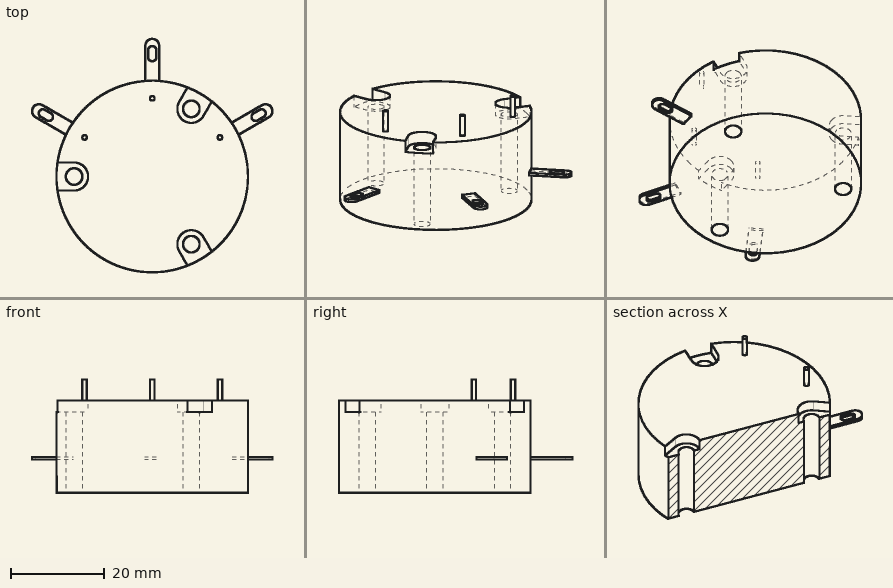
import cadquery as cq

body_diameter = 41.0
overall_height = 24.25
pin_height = 4.5
body_height = overall_height - pin_height

mount_angles = (60, 180, 300)
mount_radius = 16.7
mount_hole_diameter = 3.5
notch_width = 6.0
notch_depth = 2.5

contact_angles = (30, 90, 150)
pin_radius = 16.7
pin_diameter = 1.0

tab_width = 3.0
tab_tip_radius = 29.45
tab_thickness = 0.6
tab_bottom = 7.1
tab_embed_depth = 2.0
tab_root_radius = body_diameter / 2 - tab_embed_depth
tab_end_center = tab_tip_radius - tab_width / 2
eye_width = 1.7
eye_length = 3.2
eye_center = 26.25


def rotated(shape, angle):
    """Turn a shape built along +X to the given angle about the Z axis."""
    return shape.rotate((0, 0, 0), (0, 0, 1), angle)


def make_body():
    return cq.Workplane("XY").circle(body_diameter / 2).extrude(body_height)


def make_mount_cutter():
    """Through hole plus notch, built along +X."""
    hole = (
        cq.Workplane("XY")
        .center(mount_radius, 0)
        .circle(mount_hole_diameter / 2)
        .extrude(body_height)
    )
    half_width = notch_width / 2
    outer_end = body_diameter / 2 + half_width
    notch = (
        cq.Workplane("XY", origin=(0, 0, body_height - notch_depth))
        .moveTo(outer_end, -half_width)
        .lineTo(outer_end, half_width)
        .lineTo(mount_radius, half_width)
        .threePointArc((mount_radius - half_width, 0), (mount_radius, -half_width))
        .close()
        .extrude(notch_depth)
    )
    return hole.union(notch)


def make_pin():
    return (
        cq.Workplane("XY", origin=(pin_radius, 0, body_height))
        .circle(pin_diameter / 2)
        .extrude(pin_height)
    )


def make_tab():
    """Solder tab along +X, rooted inside the body."""
    half_width = tab_width / 2
    blade = (
        cq.Workplane("XY", origin=(0, 0, tab_bottom))
        .moveTo(tab_root_radius, -half_width)
        .lineTo(tab_end_center, -half_width)
        .threePointArc((tab_tip_radius, 0), (tab_end_center, half_width))
        .lineTo(tab_root_radius, half_width)
        .close()
        .extrude(tab_thickness)
    )
    eye = (
        cq.Workplane("XY", origin=(eye_center, 0, tab_bottom))
        .slot2D(eye_length, eye_width)
        .extrude(tab_thickness)
    )
    return blade.cut(eye)


result = make_body()
for angle in mount_angles:
    result = result.cut(rotated(make_mount_cutter(), angle))
for angle in contact_angles:
    result = result.union(rotated(make_pin(), angle))
    result = result.union(rotated(make_tab(), angle))